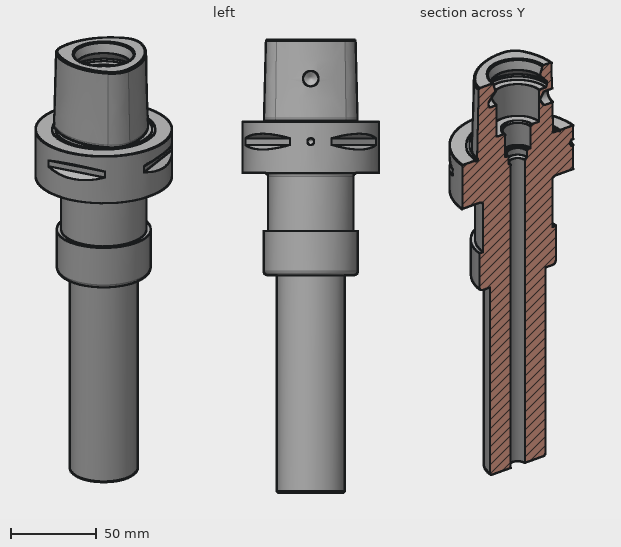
import cadquery as cq
import math

total_height = 265.0
polygon_height = 48.0
flange_height = 30.0
flange_top = total_height - polygon_height
flange_bottom = flange_top - flange_height
collar_top = 153.2
collar_bottom = 127.2

flange_radius = 80.0 / 2
neck_radius = 50.0 / 2
collar_radius = 55.0 / 2
shank_radius = 40.0 / 2
neck_fillet = 2.0
collar_fillet = 2.5
shank_chamfer = 1.0
flange_chamfer = 0.3

ring_outer_radius = 30.2
ring_inner_radius = 28.4
ring_depth = 0.8

side_distance = 25.7
lobe_distance = 29.5
side_radius = 38.7
polygon_foot_height = 2.0
polygon_taper = math.degrees(math.atan(1 / 40))
polygon_chamfer = 0.8
polygon_foot_chamfer = 0.8

bore_mouth_radius = 36.3 / 2
bore_top_radius = 35.0 / 2
lip_radius = 31.5 / 2
groove_radius = 42.0 / 2
groove_floor_radius = 40.3 / 2
pilot_radius = 30.5 / 2
screw_mouth_radius = 20.0 / 2
screw_radius = 17.8 / 2
coolant_mouth_radius = 14.5 / 2
coolant_entry_radius = 13.0 / 2
coolant_radius = 10.0 / 2
lip_depth = 6.4
groove_cone_depth = 12.2
groove_wall_depth = 13.8
groove_floor_depth = 15.6
pilot_depth = 37.0
screw_depth = 53.0
coolant_entry_depth = 58.3

notch_count = 4
notch_floor_distance = 35.5
notch_floor_height = 3.7
notch_mouth_height = 9.3
feature_height = flange_top - 11.7

drill_point_angle = 118
polygon_hole_radius = 9.0 / 2
polygon_hole_height = total_height - 22.8
polygon_hole_depth = 7.0
flange_hole_radius = 4.0 / 2
flange_hole_depth = 1.3

tolerance = 0.03


def revolve_profile(points):
    """Turn a closed (radius, height) outline about the Z axis."""
    return cq.Workplane("XZ").polyline(points).close().revolve(360, (0, 0), (0, 1))


def fillet_circle(body, circle_radius, height, fillet_radius):
    """Round the circular edge of the given radius at the given height."""
    def is_wanted(edge):
        right_size = edge.geomType() == "CIRCLE" and abs(edge.radius() - circle_radius) < tolerance
        return right_size and abs(edge.Center().z - height) < tolerance

    return body.edges().filter(is_wanted).fillet(fillet_radius)


def polar(distance, degrees):
    angle = math.radians(degrees)
    return (distance * math.cos(angle), distance * math.sin(angle))


def turned_body():
    body = revolve_profile([
        (0, 0),
        (shank_radius - shank_chamfer, 0),
        (shank_radius, shank_chamfer),
        (shank_radius, collar_bottom),
        (collar_radius, collar_bottom),
        (collar_radius, collar_top),
        (neck_radius, collar_top),
        (neck_radius, flange_bottom),
        (flange_radius, flange_bottom),
        (flange_radius, flange_top - flange_chamfer),
        (flange_radius - flange_chamfer, flange_top),
        (ring_outer_radius, flange_top),
        (ring_outer_radius, flange_top - ring_depth),
        (ring_inner_radius, flange_top),
        (0, flange_top),
    ])
    body = fillet_circle(body, neck_radius, flange_bottom, neck_fillet)
    return fillet_circle(body, collar_radius, collar_bottom, collar_fillet)


def polygon_outline(height):
    """Closed outline of three flat arcs joined tangentially by three lobe arcs."""
    side_centre = side_radius - side_distance
    lobe_radius = (
        (side_radius**2 - side_centre**2 - lobe_distance**2 - side_centre * lobe_distance)
        / (2 * side_radius - 2 * lobe_distance - side_centre)
    )
    lobe_centre = lobe_distance - lobe_radius
    lobe_x, lobe_y = polar(lobe_centre, 120)
    joint_tilt = math.atan2(lobe_y, lobe_x - side_centre)
    joint_x = side_centre + side_radius * math.cos(joint_tilt)
    joint_y = side_radius * math.sin(joint_tilt)
    joint_distance = math.hypot(joint_x, joint_y)
    joint_angle = math.degrees(math.atan2(joint_y, joint_x)) - 120

    outline = cq.Workplane("XY", origin=(0, 0, height)).moveTo(*polar(joint_distance, -joint_angle))
    for lobe_direction in (0, 120, 240):
        outline = outline.threePointArc(
            polar(lobe_distance, lobe_direction),
            polar(joint_distance, lobe_direction + joint_angle),
        )
        outline = outline.threePointArc(
            polar(side_distance, lobe_direction + 60),
            polar(joint_distance, lobe_direction + 120 - joint_angle),
        )
    return outline.close()


def polygon_shank():
    foot = polygon_outline(flange_top).extrude(polygon_foot_height)
    taper_height = polygon_height - polygon_foot_height
    taper = polygon_outline(flange_top + polygon_foot_height).extrude(taper_height, taper=polygon_taper)
    foot = foot.faces("<Z").chamfer(polygon_foot_chamfer)
    return foot.union(taper.faces(">Z").chamfer(polygon_chamfer))


def stepped_bore():
    steps = [
        (0, 0),
        (bore_mouth_radius, 0),
        (bore_top_radius, bore_mouth_radius - bore_top_radius),
        (lip_radius, lip_depth),
        (groove_radius, groove_cone_depth),
        (groove_radius, groove_wall_depth),
        (groove_floor_radius, groove_floor_depth),
        (pilot_radius, groove_floor_depth),
        (pilot_radius, pilot_depth),
        (screw_mouth_radius, pilot_depth),
        (screw_radius, pilot_depth + screw_mouth_radius - screw_radius),
        (screw_radius, screw_depth),
        (coolant_mouth_radius, screw_depth),
        (coolant_entry_radius, screw_depth + coolant_mouth_radius - coolant_entry_radius),
        (coolant_entry_radius, coolant_entry_depth),
        (coolant_radius, coolant_entry_depth + coolant_entry_radius - coolant_radius),
        (coolant_radius, total_height),
        (0, total_height),
    ]
    return revolve_profile([(radius, total_height - depth) for radius, depth in steps])


def gripper_notch(direction):
    """Straight trapezoidal groove across a chord of the flange."""
    half_floor = notch_floor_height / 2
    half_mouth = notch_mouth_height / 2
    notch = (
        cq.Workplane("XZ")
        .moveTo(notch_floor_distance, feature_height - half_floor)
        .lineTo(flange_radius, feature_height - half_mouth)
        .lineTo(flange_radius, feature_height + half_mouth)
        .lineTo(notch_floor_distance, feature_height + half_floor)
        .close()
        .extrude(flange_radius, both=True)
    )
    return notch.rotate((0, 0, 0), (0, 0, 1), direction)


def radial_hole(surface_distance, height, radius, depth):
    """Drilled blind hole entering from the -X side, with a conical end."""
    point_length = radius / math.tan(math.radians(drill_point_angle / 2))
    floor_x = depth - surface_distance
    outside_x = -surface_distance - radius
    return (
        cq.Workplane("XY")
        .polyline([(outside_x, 0), (outside_x, radius), (floor_x, radius), (floor_x + point_length, 0)])
        .close()
        .revolve(360, (0, 0), (1, 0))
        .translate((0, 0, height))
    )


result = turned_body().union(polygon_shank()).cut(stepped_bore())
for notch_index in range(notch_count):
    notch_direction = 360 / notch_count * (notch_index + 0.5)
    result = result.cut(gripper_notch(notch_direction))
result = result.cut(radial_hole(side_distance, polygon_hole_height, polygon_hole_radius, polygon_hole_depth))
result = result.cut(radial_hole(flange_radius, feature_height, flange_hole_radius, flange_hole_depth))